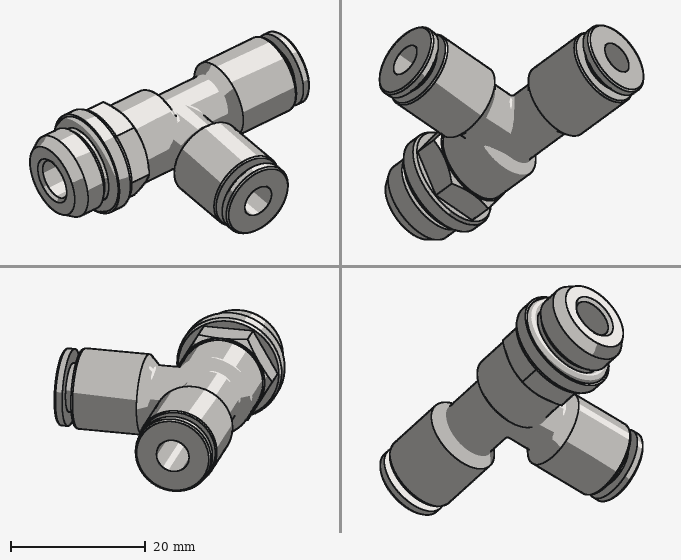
import cadquery as cq
import math


leg_length = 22.2
stem_radius = 4.55
socket_radius = 6.05
socket_cone_end = 9.53
socket_end = 19.58
socket_edge_length = 0.3
socket_edge_depth = 0.17
lip_radius = 4.0
lip_length = 0.15
release_neck_radius = 3.65
release_cap_radius = 5.75
release_cap_thickness = 1.25
release_cap_chamfer = 0.25
blend_radius = 0.5

socket_cone_start = socket_cone_end - (socket_radius - stem_radius)
socket_cone_turn = math.radians(45)
socket_cone_tangent = blend_radius * math.tan(socket_cone_turn / 2)
stem_end = socket_cone_start - socket_cone_tangent

body_radius = 6.3
body_shoulder_y = -1.5
body_shoulder_angle = 60
body_end_y = -8.5
body_end_chamfer = 0.15
hex_across_flats = 13.02
hex_end_y = -12.5
hex_chamfer_angle = 30
flange_radius = 8.0
flange_chamfer_length = 0.52
flange_chamfer_depth = 0.3
flange_end_y = -15.05
seal_ring_radius = 6.77
seal_section_radius = 0.87
thread_end_y = -21.5
thread_radius = 6.55
thread_neck_radius = 5.85
thread_lead_in_length = 1.7
thread_lead_in_depth = 1.05
thread_start_y = -16.85

bore_radius = 2.5
inlet_radius = 3.0
inlet_chamfer = 0.52
inlet_taper_y = -2.62
inlet_taper_length = 0.52

margin = 0.05


def revolve_about_y(profile):
    """Turn a closed profile in the XY plane, drawn on its +X side, about the Y axis."""
    return profile.close().revolve(360, (0, 0, 0), (0, 1, 0))


def cylinder_along_y(radius, start_y, end_y):
    """A cylinder on the Y axis from start_y up to end_y."""
    return cq.Workplane("XZ", origin=(0, start_y, 0)).circle(radius).extrude(start_y - end_y)


def turn_to_branch(solid):
    """Swing a +Y shape round to +X."""
    return solid.rotate((0, 0, 0), (0, 0, 1), -90)


def make_leg_end():
    """Everything on a tube leg from the socket cone outwards."""
    half_turn = socket_cone_turn / 2
    arc_middle = (
        stem_radius + blend_radius * (1 - math.cos(half_turn)),
        stem_end + blend_radius * math.sin(half_turn),
    )
    arc_end = (
        stem_radius + blend_radius * (1 - math.cos(socket_cone_turn)),
        stem_end + blend_radius * math.sin(socket_cone_turn),
    )
    cap_start = leg_length - release_cap_thickness
    profile = (
        cq.Workplane("XY")
        .moveTo(0, stem_end)
        .lineTo(stem_radius, stem_end)
        .threePointArc(arc_middle, arc_end)
        .lineTo(socket_radius, socket_cone_end)
        .lineTo(socket_radius, socket_end - socket_edge_length)
        .lineTo(socket_radius - socket_edge_depth, socket_end)
        .lineTo(lip_radius, socket_end)
        .lineTo(lip_radius, socket_end + lip_length)
        .lineTo(release_neck_radius, socket_end + lip_length)
        .lineTo(release_neck_radius, cap_start)
        .lineTo(release_cap_radius, cap_start)
        .lineTo(release_cap_radius, leg_length - release_cap_chamfer)
        .lineTo(release_cap_radius - release_cap_chamfer, leg_length)
        .lineTo(0, leg_length)
    )
    return revolve_about_y(profile)


def make_junction():
    """The two stems and the swivel body, with their meeting edges rounded."""
    shoulder_rise = (body_radius - stem_radius) / math.tan(math.radians(body_shoulder_angle))
    shoulder_top_y = body_shoulder_y + shoulder_rise
    profile = (
        cq.Workplane("XY")
        .moveTo(0, shoulder_top_y)
        .lineTo(stem_radius, shoulder_top_y)
        .lineTo(body_radius, body_shoulder_y)
        .lineTo(body_radius, body_end_y + body_end_chamfer)
        .lineTo(body_radius - body_end_chamfer, body_end_y)
        .lineTo(0, body_end_y)
    )
    body = revolve_about_y(profile)
    shoulder_edge = cq.selectors.BoxSelector(
        (-body_radius - margin, body_shoulder_y - margin, -body_radius - margin),
        (body_radius + margin, body_shoulder_y + margin, body_radius + margin),
        boundingbox=True,
    )
    body = body.edges(shoulder_edge).fillet(blend_radius)

    branch_stem = turn_to_branch(cylinder_along_y(stem_radius, 0, stem_end))
    run_stem = cylinder_along_y(stem_radius, body_shoulder_y, stem_end)
    junction = body.union(run_stem).union(branch_stem)

    reach = stem_radius + margin
    crotch_edges = cq.selectors.BoxSelector(
        (-margin, -margin, -reach),
        (reach, reach, reach),
        boundingbox=True,
    )
    body_edges = cq.selectors.BoxSelector(
        (-reach, -reach, -reach),
        (body_radius + margin, shoulder_top_y + margin, reach),
        boundingbox=True,
    )
    junction = junction.edges(body_edges).fillet(blend_radius)
    return junction.edges(crotch_edges).fillet(blend_radius)


def make_hexagon():
    """Wrench hexagon with two flats facing +Z and -Z and a cone-chamfered upper end."""
    across_corners = hex_across_flats / math.cos(math.pi / 6)
    height = body_end_y - hex_end_y
    prism = cq.Workplane("XZ", origin=(0, body_end_y, 0)).polygon(6, across_corners).extrude(height)
    flat_radius = hex_across_flats / 2
    corner_radius = across_corners / 2
    chamfer_length = (corner_radius - flat_radius) * math.tan(math.radians(hex_chamfer_angle))
    envelope = revolve_about_y(
        cq.Workplane("XY")
        .moveTo(0, body_end_y)
        .lineTo(flat_radius, body_end_y)
        .lineTo(corner_radius, body_end_y - chamfer_length)
        .lineTo(corner_radius, hex_end_y)
        .lineTo(0, hex_end_y)
    )
    return prism.intersect(envelope)


def make_thread_end():
    """Sealing flange with its round seal ring, and the plain spigot that carries the thread."""
    neck_chamfer = thread_radius - thread_neck_radius
    profile = (
        cq.Workplane("XY")
        .moveTo(0, hex_end_y)
        .lineTo(flange_radius - flange_chamfer_depth, hex_end_y)
        .lineTo(flange_radius, hex_end_y - flange_chamfer_length)
        .lineTo(flange_radius, flange_end_y)
        .lineTo(seal_ring_radius + seal_section_radius, flange_end_y)
        .threePointArc(
            (seal_ring_radius, flange_end_y - seal_section_radius),
            (seal_ring_radius - seal_section_radius, flange_end_y),
        )
        .lineTo(thread_neck_radius, flange_end_y)
        .lineTo(thread_neck_radius, thread_start_y + neck_chamfer)
        .lineTo(thread_radius, thread_start_y)
        .lineTo(thread_radius, thread_end_y + thread_lead_in_length)
        .lineTo(thread_radius - thread_lead_in_depth, thread_end_y)
        .lineTo(0, thread_end_y)
    )
    return revolve_about_y(profile)


def make_inlet():
    """Wider passage in the thread end, chamfered at its mouth and tapering to the bore."""
    profile = (
        cq.Workplane("XY")
        .moveTo(0, thread_end_y)
        .lineTo(inlet_radius + inlet_chamfer, thread_end_y)
        .lineTo(inlet_radius, thread_end_y + inlet_chamfer)
        .lineTo(inlet_radius, inlet_taper_y)
        .lineTo(bore_radius, inlet_taper_y + inlet_taper_length)
        .lineTo(0, inlet_taper_y + inlet_taper_length)
    )
    return revolve_about_y(profile)


leg_end = make_leg_end()
outside = (
    make_junction()
    .union(leg_end)
    .union(turn_to_branch(leg_end))
    .union(make_hexagon())
    .union(make_thread_end())
)

run_bore = cylinder_along_y(bore_radius, thread_end_y, leg_length)
branch_bore = turn_to_branch(cylinder_along_y(bore_radius, 0, leg_length))
result = outside.cut(run_bore).cut(make_inlet()).cut(branch_bore)